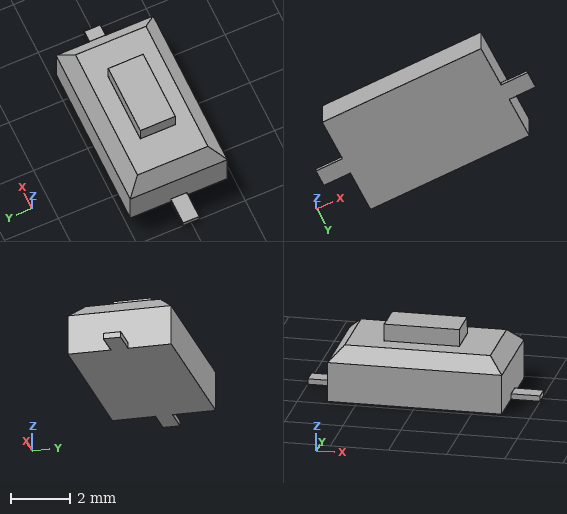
import cadquery as cq

total_length = 8
total_height = 2.5

body_length = 6
body_width = 3.6
bevel = 0.5

button_length = 2.59
button_width = 1.3
button_height = 0.6
body_height = total_height - button_height

lead_width = 0.6
lead_thickness = 0.2


def block(length, width, height, base_z=0):
    """Box centred in X and Y, standing on base_z."""
    return cq.Workplane("XY").workplane(offset=base_z).box(
        length, width, height, centered=(True, True, False)
    )


body = block(body_length, body_width, body_height).faces(">Z").edges().chamfer(bevel)

button = block(button_length, button_width, button_height, body_height)

leads = block(total_length, lead_width, lead_thickness)

result = body.union(button).union(leads)